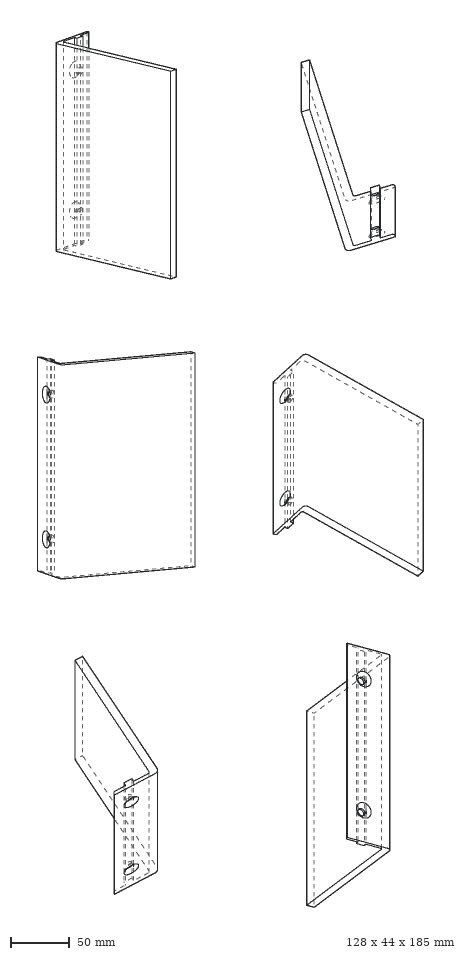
import cadquery as cq

width = 128.0
depth = 44.0
height = 185.0

plate_thickness = 7.5
flange_thickness = 3.0
outer_corner_radius = 3.9
inner_corner_radius = 1.7
flange_tip_radius = 2.0

rib_width = 8.0
rib_projection = 3.0
rib_center_y = 27.5

hole_diameter = 6.7
countersink_diameter = 14.5
countersink_angle = 90.0
hole_end_distance = 30.0


def make_angle():
    """Plate on the XZ plane with a thin flange along its left edge."""
    angle = (
        cq.Workplane("XY")
        .polyline([
            (0, 0),
            (width, 0),
            (width, plate_thickness),
            (flange_thickness, plate_thickness),
            (flange_thickness, depth),
            (0, depth),
        ])
        .close()
        .extrude(height)
    )

    def upright_edge(x, y):
        return angle.edges(cq.selectors.NearestToPointSelector((x, y, height / 2)))

    angle = upright_edge(0, 0).fillet(outer_corner_radius)
    angle = upright_edge(flange_thickness, plate_thickness).fillet(inner_corner_radius)
    angle = upright_edge(flange_thickness, depth).fillet(flange_tip_radius)
    return angle


def make_rib():
    """Full-height rectangular rib, sunk through the flange for a clean union."""
    return cq.Workplane("XY").box(
        flange_thickness + rib_projection, rib_width, height, centered=(False, True, False)
    ).translate((0, rib_center_y, 0))


def drill_holes(body):
    """Countersink both screw holes from the outer flange face."""
    hole_points = [
        (-rib_center_y, hole_end_distance),
        (-rib_center_y, height - hole_end_distance),
    ]
    outer_plane = cq.Plane(origin=(0, 0, 0), xDir=(0, -1, 0), normal=(-1, 0, 0))
    return (
        body.copyWorkplane(cq.Workplane(outer_plane))
        .pushPoints(hole_points)
        .cskHole(
            hole_diameter,
            countersink_diameter,
            countersink_angle,
            depth=flange_thickness + rib_projection,
        )
    )


result = drill_holes(make_angle().union(make_rib()))